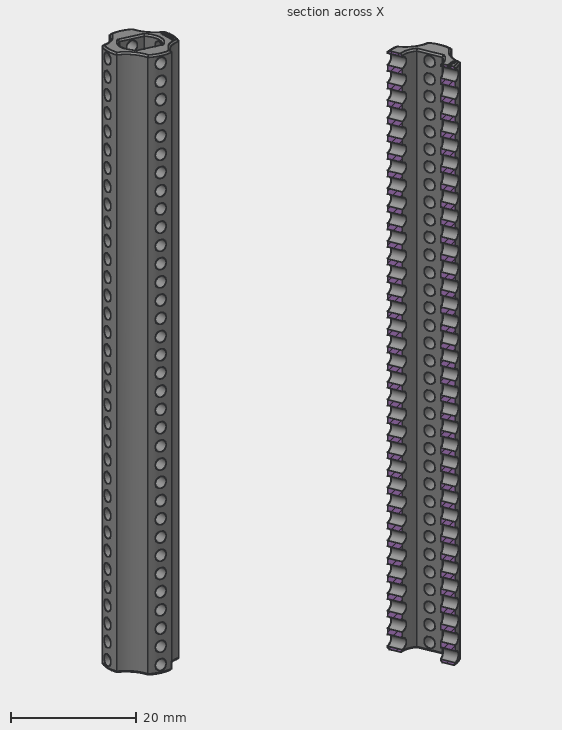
import cadquery as cq
import math

length = 106.2
outer_diameter = 12.5
outer_radius = outer_diameter / 2
end_chamfer = 0.3
mouth_angle = 45

lobe_half_width = 2.2
flute_diagonal_radius = 5.0

bore_width = 5.2
bore_corner_height = 4.7
bore_crown_height = 7.0

hole_diameter = 2.0
hole_count = 34
end_margin = 1.6
hole_pitch = (length - 2 * end_margin) / (hole_count - 1)

slot_width = 3.2
slot_thickness = 0.4
slot_depth = 0.3
slot_center_y = 5.1


def polar(radius, angle):
    return radius * math.cos(angle), radius * math.sin(angle)


def make_body():
    """Extrude the four-lobed outline and chamfer both end rims."""
    lobe_half_angle = math.asin(lobe_half_width / outer_radius)
    outline = cq.Workplane("XY").moveTo(*polar(outer_radius, -lobe_half_angle))
    for quarter in range(4):
        axis = quarter * math.pi / 2
        lobe_tip = polar(outer_radius, axis)
        lobe_end = polar(outer_radius, axis + lobe_half_angle)
        flute_middle = polar(flute_diagonal_radius, axis + math.pi / 4)
        next_lobe = polar(outer_radius, axis + math.pi / 2 - lobe_half_angle)
        outline = outline.threePointArc(lobe_tip, lobe_end).threePointArc(flute_middle, next_lobe)
    return outline.close().extrude(length).faces("<Z or >Z").chamfer(end_chamfer)


def make_bore():
    """Bore with flat X walls, bowed Y walls and a flared mouth at each end."""
    half_width = bore_width / 2
    half_corner = bore_corner_height / 2
    half_crown = bore_crown_height / 2
    profile = (
        cq.Workplane("XY")
        .moveTo(half_width, -half_corner)
        .lineTo(half_width, half_corner)
        .threePointArc((0, half_crown), (-half_width, half_corner))
        .lineTo(-half_width, -half_corner)
        .threePointArc((0, -half_crown), (half_width, -half_corner))
        .close()
    )
    bore = profile.extrude(length)
    mouth_outline = cq.Workplane("XY").add(bore.faces("<Z").wires().vals()).toPending()
    mouth_outline = mouth_outline.offset2D(end_chamfer, "intersection")
    bottom_mouth = mouth_outline.extrude(end_chamfer, taper=mouth_angle)
    top_mouth = bottom_mouth.mirror("XY").translate((0, 0, length))
    return bore.union(bottom_mouth).union(top_mouth)


def make_hole_row():
    """One row of holes running right through the tube along Y."""
    centers = [(0, end_margin + i * hole_pitch) for i in range(hole_count)]
    return cq.Workplane("XZ").pushPoints(centers).circle(hole_diameter / 2).extrude(outer_radius, both=True)


def make_slot():
    """Narrow slot sunk into the top face."""
    slot = cq.Workplane("XY").box(slot_width, slot_thickness, slot_depth, centered=(True, True, False))
    return slot.translate((0, slot_center_y, length - slot_depth))


hole_row = make_hole_row()
result = (
    make_body()
    .cut(make_bore())
    .cut(hole_row)
    .cut(hole_row.rotate((0, 0, 0), (0, 0, 1), 90))
    .cut(make_slot())
)